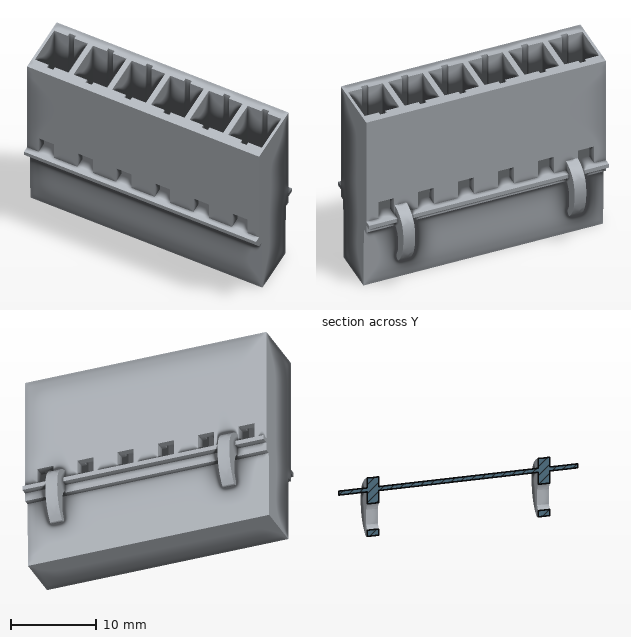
import cadquery as cq

POLES = 6
PITCH = 5.08
LENGTH = POLES * PITCH
HEIGHT = 24.55
BODY_WIDTH = 7.62

FOOT_HEIGHT = 8.38
FOOT_TOP_WIDTH = 6.18
FOOT_BOTTOM_WIDTH = 5.9

RAIL_TOP = 9.97
RAIL_THICKNESS = 0.54
FRONT_RAIL_REACH = 0.78
BACK_RAIL_REACH = 0.85

CAVITY_LENGTH = 4.4
CAVITY_FLOOR = RAIL_TOP
CAVITY_FRONT_WALL = 1.38
CAVITY_BACK_WALL = 1.27
BACK_WALL_TAPER = 0.06
GROOVE_LENGTH = 0.82
GROOVE_DEPTH = 0.43

WINDOW_LENGTH = 2.03
WINDOW_HEIGHT = 2.43

HOOK_THICKNESS = 1.5
HOOK_END_OFFSET = 4.36
OVERALL_WIDTH = 11.0
HOOK_REACH = OVERALL_WIDTH - BODY_WIDTH - FRONT_RAIL_REACH
HOOK_ROOT_TOP = 11.32
HOOK_WIDEST_Z = 8.0
HOOK_CROWN = (1.1, 11.0)
HOOK_SHOULDER = (2.14, 10.08)
HOOK_OUTER_BELLY = (2.11, 5.45)
HOOK_TIP_OUTER = (1.13, 4.0)
HOOK_TIP_END = (0.68, 4.03)
HOOK_TIP_NOSE = (0.56, 4.55)
HOOK_TIP_NECK = (0.84, 5.1)
HOOK_INNER_OFFSET = 0.96
HOOK_INNER_BOTTOM_Z = 5.4
HOOK_INNER_TOP_Z = 7.2
HOOK_INNER_BEND = (0.68, 8.0)
HOOK_INNER_ROOT_OFFSET = 0.38

FRONT_Y = -BODY_WIDTH / 2
BACK_Y = BODY_WIDTH / 2


def extrude_along_length(sketch, length, center_x):
    """Extrude a closed YZ outline symmetrically about the plane X = center_x."""
    return sketch.extrude(length).translate((center_x - length / 2, 0, 0))


def make_body():
    """Main block, tapered foot and both rails as one extruded section."""
    rail_bottom = RAIL_TOP - RAIL_THICKNESS
    front_rail_y = FRONT_Y - FRONT_RAIL_REACH
    back_rail_y = BACK_Y + BACK_RAIL_REACH
    section = cq.Workplane("YZ").polyline([
        (-FOOT_BOTTOM_WIDTH / 2, 0),
        (FOOT_BOTTOM_WIDTH / 2, 0),
        (FOOT_TOP_WIDTH / 2, FOOT_HEIGHT),
        (BACK_Y, FOOT_HEIGHT),
        (BACK_Y, rail_bottom),
        (back_rail_y, rail_bottom),
        (back_rail_y, RAIL_TOP),
        (BACK_Y, RAIL_TOP),
        (BACK_Y, HEIGHT),
        (FRONT_Y, HEIGHT),
        (FRONT_Y, RAIL_TOP),
        (front_rail_y, RAIL_TOP),
        (front_rail_y, rail_bottom),
        (FRONT_Y, rail_bottom),
        (FRONT_Y, FOOT_HEIGHT),
        (-FOOT_TOP_WIDTH / 2, FOOT_HEIGHT),
    ]).close()
    return extrude_along_length(section, LENGTH, 0)


def make_pole_cut(center_x):
    """Cavity with its two keying grooves and the window crossing it."""
    front_wall_y = FRONT_Y + CAVITY_FRONT_WALL
    back_wall_y = BACK_Y - CAVITY_BACK_WALL
    pocket_section = cq.Workplane("YZ").polyline([
        (front_wall_y, CAVITY_FLOOR),
        (back_wall_y - BACK_WALL_TAPER, CAVITY_FLOOR),
        (back_wall_y, HEIGHT),
        (front_wall_y, HEIGHT),
    ]).close()
    pocket = extrude_along_length(pocket_section, CAVITY_LENGTH, center_x)

    groove_front_y = front_wall_y - GROOVE_DEPTH
    groove_back_y = back_wall_y + GROOVE_DEPTH
    grooves = cq.Workplane("XY").box(
        GROOVE_LENGTH, groove_back_y - groove_front_y, HEIGHT - CAVITY_FLOOR, centered=(True, False, False)
    ).translate((center_x, groove_front_y, CAVITY_FLOOR))

    window = cq.Workplane("XY").box(
        WINDOW_LENGTH, BODY_WIDTH, WINDOW_HEIGHT, centered=(True, True, False)
    ).translate((center_x, 0, CAVITY_FLOOR))
    return pocket.union(grooves).union(window)


def make_hook(center_x):
    """Curved latch hook hanging from the back face, rounded at its tip."""
    def outward(point):
        return (BACK_Y + point[0], point[1])

    widest_point = (HOOK_REACH, HOOK_WIDEST_Z)
    outer_points = [HOOK_CROWN, HOOK_SHOULDER, widest_point, HOOK_OUTER_BELLY, HOOK_TIP_OUTER]
    outline = (
        cq.Workplane("YZ")
        .moveTo(BACK_Y, FOOT_HEIGHT)
        .lineTo(BACK_Y, HOOK_ROOT_TOP)
        .spline([outward(point) for point in outer_points], includeCurrent=True)
        .threePointArc(outward(HOOK_TIP_END), outward(HOOK_TIP_NOSE))
        .lineTo(*outward(HOOK_TIP_NECK))
        .lineTo(*outward((HOOK_INNER_OFFSET, HOOK_INNER_BOTTOM_Z)))
        .lineTo(*outward((HOOK_INNER_OFFSET, HOOK_INNER_TOP_Z)))
        .threePointArc(outward(HOOK_INNER_BEND), outward((HOOK_INNER_ROOT_OFFSET, FOOT_HEIGHT)))
        .close()
    )
    return extrude_along_length(outline, HOOK_THICKNESS, center_x)


result = make_body()
for pole in range(POLES):
    result = result.cut(make_pole_cut((pole - (POLES - 1) / 2) * PITCH))
for side in (-1, 1):
    result = result.union(make_hook(side * (LENGTH / 2 - HOOK_END_OFFSET)))